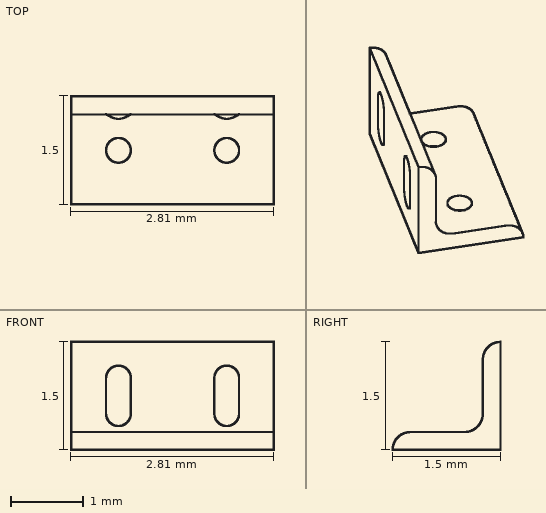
import cadquery as cq

length = 2.81
leg = 1.5
thickness = 0.25
opening_spacing = leg
opening_width = 0.34
slot_length = 0.835

half_leg = leg / 2
back = half_leg
front = -half_leg
bottom = -half_leg
top = half_leg
opening_places = [(-opening_spacing / 2, 0), (opening_spacing / 2, 0)]


def angle_body():
    """L-shaped bar with a filleted inner corner and quarter-round leg tips."""
    wall_face = back - thickness
    base_face = bottom + thickness
    arc_inset = thickness * (1 - 0.5 ** 0.5)
    return (
        cq.Workplane("YZ")
        .workplane(offset=-length / 2)
        .moveTo(front, bottom)
        .lineTo(back, bottom)
        .lineTo(back, top)
        .threePointArc(
            (wall_face + arc_inset, top - arc_inset),
            (wall_face, top - thickness),
        )
        .lineTo(wall_face, base_face + thickness)
        .threePointArc(
            (wall_face - arc_inset, base_face + arc_inset),
            (wall_face - thickness, base_face),
        )
        .lineTo(front + thickness, base_face)
        .threePointArc(
            (front + arc_inset, base_face - arc_inset),
            (front, bottom),
        )
        .close()
        .extrude(length)
    )


def upright_slots():
    """Vertical slots through the upright leg and the inner corner fillet."""
    return (
        cq.Workplane("XZ")
        .pushPoints(opening_places)
        .slot2D(slot_length, opening_width, 90)
        .extrude(-leg)
    )


def base_holes():
    """Round holes through the base leg."""
    return (
        cq.Workplane("XY")
        .workplane(offset=bottom)
        .pushPoints(opening_places)
        .circle(opening_width / 2)
        .extrude(thickness)
    )


result = angle_body().cut(upright_slots()).cut(base_holes())